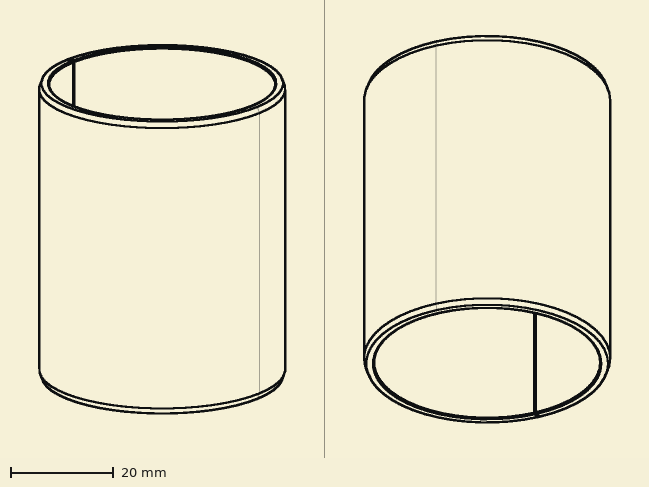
import cadquery as cq
import math

length = 60.0
outer_diameter = 48.0
wall = 2.0
slit_width = 0.4

outer_chamfer_height = 1.2
outer_chamfer_angle = 20.0
inner_chamfer = 0.25

outer_radius = outer_diameter / 2
inner_radius = outer_radius - wall
half_length = length / 2
outer_chamfer_depth = outer_chamfer_height * math.tan(math.radians(outer_chamfer_angle))


def wall_profile():
    """Half section of the wall, drawn as radius against height."""
    outer_shoulder = half_length - outer_chamfer_height
    inner_shoulder = half_length - inner_chamfer
    outer_rim = outer_radius - outer_chamfer_depth
    inner_rim = inner_radius + inner_chamfer
    return (
        cq.Workplane("XZ")
        .moveTo(inner_radius, -inner_shoulder)
        .lineTo(inner_rim, -half_length)
        .lineTo(outer_rim, -half_length)
        .lineTo(outer_radius, -outer_shoulder)
        .lineTo(outer_radius, outer_shoulder)
        .lineTo(outer_rim, half_length)
        .lineTo(inner_rim, half_length)
        .lineTo(inner_radius, inner_shoulder)
        .close()
    )


def seam_slit():
    """Full-length cutter reaching from the axis out through the -X wall."""
    return cq.Workplane("XY").box(
        outer_diameter, slit_width, 2 * length
    ).translate((-outer_radius, slit_width / 2, 0))


tube = wall_profile().revolve(360, (0, 0, 0), (0, 1, 0))
result = tube.cut(seam_slit())